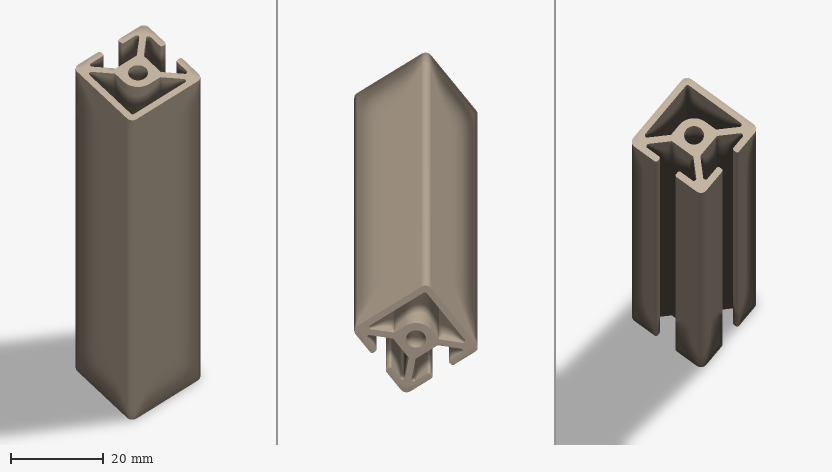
import cadquery as cq
import math

side = 20.0
length = 100.0
wall = 1.5
corner_radius = 1.5
slot_opening = 5.0
lip_radius = 0.5
pocket_radius = 0.5
core_width = 8.0
bore_diameter = 4.3
web_thickness = 1.5
pocket_reach = 6.7

half_side = side / 2
inner_half = half_side - wall
core_half = core_width / 2
web_offset = web_thickness / math.sqrt(2)
web_end = pocket_reach + web_offset
core_end = core_half - web_offset


def make_blank():
    """Solid square bar with rounded long edges."""
    bar = cq.Workplane("XY").rect(side, side).extrude(length)
    return bar.edges("|Z").fillet(corner_radius)


def round_pocket_ends(pocket):
    """Round the pocket corners that lie against the outer walls."""
    core_zone = cq.selectors.BoxSelector(
        (-core_half - pocket_radius, -core_half - pocket_radius, 0),
        (core_half + pocket_radius, core_half + pocket_radius, length),
    )
    long_edges = cq.selectors.ParallelDirSelector(cq.Vector(0, 0, 1))
    return pocket.edges(long_edges - core_zone).fillet(pocket_radius)


def make_slot():
    """Open T-slot on the +Y side, with rounded lips at its mouth."""
    pocket = (
        cq.Workplane("XY")
        .moveTo(-pocket_reach, inner_half)
        .lineTo(-pocket_reach, web_end)
        .lineTo(-core_end, core_half)
        .lineTo(core_end, core_half)
        .lineTo(pocket_reach, web_end)
        .lineTo(pocket_reach, inner_half)
        .close()
        .extrude(length)
    )
    pocket = round_pocket_ends(pocket)
    mouth = (
        cq.Workplane("XY")
        .center(0, half_side - wall / 2)
        .rect(slot_opening, wall)
        .extrude(length)
    )
    return pocket.union(mouth)


def make_closed_cavity():
    """Closed cavity in the +X, -Y corner, wrapping around the rounded core."""
    arc_mid = core_half / math.sqrt(2)
    cavity = (
        cq.Workplane("XY")
        .moveTo(inner_half, -inner_half)
        .lineTo(inner_half, pocket_reach)
        .lineTo(web_end, pocket_reach)
        .lineTo(core_half, core_end)
        .lineTo(core_half, 0)
        .threePointArc((arc_mid, -arc_mid), (0, -core_half))
        .lineTo(-core_end, -core_half)
        .lineTo(-pocket_reach, -web_end)
        .lineTo(-pocket_reach, -inner_half)
        .close()
        .extrude(length)
    )
    return round_pocket_ends(cavity)


def make_lip_edge_selector():
    """Box that holds both rounded edges of each lip of the +Y slot."""
    reach = slot_opening / 2 + lip_radius
    return cq.selectors.BoxSelector(
        (-reach, inner_half - lip_radius, 0),
        (reach, half_side + lip_radius, length),
    )


slot = make_slot()
bore = cq.Workplane("XY").circle(bore_diameter / 2).extrude(length)

profile = make_blank()
quarter_turn = 90
for _ in range(2):
    profile = profile.rotate((0, 0, 0), (0, 0, 1), quarter_turn).cut(slot)
    profile = profile.edges("|Z").edges(make_lip_edge_selector()).fillet(lip_radius)

result = profile.cut(make_closed_cavity()).cut(bore)